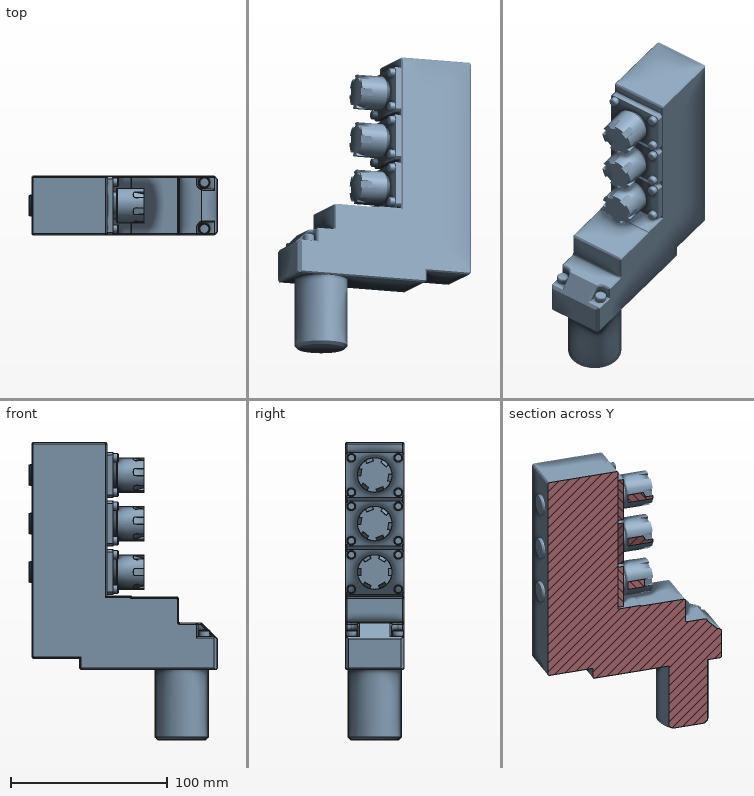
import cadquery as cq

width = 37.6
edge_chamfer = 1.0
root_chamfer = 0.5
top_z = 190.0
tower_depth = 48.0
tower_bottom_z = 52.0
foot_start_x = 30.5
foot_end_x = 118.5
foot_bottom_z = 44.8
shoulder_z = 91.2
shoulder_step = 0.5
shoulder_break_x = 63.8
shoulder_end_x = 93.9
toe_z = 74.7
toe_bevel = 10.3
toe_corner_chamfer = 2.0

post_diameter = 34.0
post_x = 95.8
post_chamfer = 1.9

screw_x = 110.2
screw_y = 14.8
screw_diameter = 7.0
screw_height = 4.0
screw_chamfer = 0.5
pocket_floor_z = 66.1
pocket_radius = 4.2

station_count = 3
station_pitch = 31.0
top_station_z = 169.1
station_heights = [top_station_z - i * station_pitch for i in range(station_count)]

button_diameter = 13.5
button_height = 1.7
button_tip_diameter = 12.5
button_taper_length = 1.1

flange_thickness = 3.8
flange_height = 28.9
flange_chamfer = 1.7
neck_diameter = 17.5
neck_length = 2.0
barrel_diameter = 22.0
barrel_end = 23.8
barrel_chamfer = 0.8
slot_count = 6
slot_angles = [20.0, 20.0, 30.0]
slot_length = 7.0
slot_width = 4.5
slot_end_depth = 2.3
bolt_diameter = 5.5
bolt_height = 3.5
bolt_chamfer = 0.5
bolt_y = 15.0
bolt_z = 11.0


def cylinder_along_x(diameter, length, start_x):
    return cq.Workplane("YZ", origin=(start_x, 0, 0)).circle(diameter / 2).extrude(length)


def make_housing_shell():
    outline = [
        (0, tower_bottom_z),
        (foot_start_x, tower_bottom_z),
        (foot_start_x, foot_bottom_z),
        (foot_end_x, foot_bottom_z),
        (foot_end_x, toe_z - toe_bevel),
        (foot_end_x - toe_bevel, toe_z),
        (shoulder_end_x, toe_z),
        (shoulder_end_x, shoulder_z),
        (shoulder_break_x, shoulder_z),
        (shoulder_break_x - shoulder_step, shoulder_z + shoulder_step),
        (tower_depth, shoulder_z + shoulder_step),
        (tower_depth, top_z),
        (0, top_z),
    ]
    shell = cq.Workplane("XZ").polyline(outline).close().extrude(width / 2, both=True)
    shell = shell.faces("<X or <Z or >Z").edges("|Y").chamfer(edge_chamfer)
    for corner_z, corner_chamfer in ((shoulder_z, edge_chamfer), (toe_z, root_chamfer)):
        corner = cq.selectors.NearestToPointSelector((shoulder_end_x, 0, corner_z))
        shell = shell.edges(corner).chamfer(corner_chamfer)
    for side in (-1, 1):
        shell = shell.cut(make_pocket(side))
        shell = shell.edges(pocket_rim_box(side)).edges("not |Z").chamfer(edge_chamfer)
    shell = shell.faces("<Y or >Y").chamfer(edge_chamfer)
    for side in (-1, 1):
        shell = shell.cut(make_toe_corner(side))
    return shell


def pocket_rim_box(side):
    margin = edge_chamfer / 2
    return cq.selectors.BoxSelector(
        (screw_x - pocket_radius - margin, side * (screw_y - pocket_radius - margin), pocket_floor_z + margin),
        (foot_end_x, side * (width / 2 - margin), toe_z + margin),
    )


def make_toe_corner(side):
    corner_y = side * width / 2
    corner = [
        (foot_end_x, corner_y),
        (foot_end_x - toe_corner_chamfer, corner_y),
        (foot_end_x, corner_y - side * toe_corner_chamfer),
    ]
    return cq.Workplane("XY").polyline(corner).close().extrude(toe_z)


def make_pocket(side):
    inner_corner = (screw_x - pocket_radius, side * (screw_y - pocket_radius))
    return (
        cq.Workplane("XY", origin=(*inner_corner, pocket_floor_z))
        .rect(width, side * width, centered=False)
        .extrude(toe_z - pocket_floor_z)
        .edges("|Z")
        .edges(cq.selectors.NearestToPointSelector((*inner_corner, toe_z)))
        .fillet(pocket_radius)
    )


def make_post():
    return (
        cq.Workplane("XY")
        .center(post_x, 0)
        .circle(post_diameter / 2)
        .extrude(foot_bottom_z)
        .faces("<Z")
        .chamfer(post_chamfer)
    )


def make_screw_heads():
    return (
        cq.Workplane("XY", origin=(screw_x, 0, pocket_floor_z))
        .pushPoints([(0, -screw_y), (0, screw_y)])
        .circle(screw_diameter / 2)
        .extrude(screw_height)
        .faces(">Z")
        .chamfer(screw_chamfer)
    )


def make_button(height):
    base_radius = button_diameter / 2
    half_profile = [
        (0, 0),
        (0, base_radius),
        (button_taper_length - button_height, base_radius),
        (-button_height, button_tip_diameter / 2),
        (-button_height, 0),
    ]
    button = cq.Workplane("XZ").polyline(half_profile).close().revolve(360, (0, 0, 0), (1, 0, 0))
    return button.translate((0, 0, height))


def make_housing():
    housing = make_housing_shell().union(make_post()).union(make_screw_heads())
    for height in station_heights:
        housing = housing.union(make_button(height))
    return housing


def make_slot(angle):
    rim = barrel_diameter / 2
    ramp = [(barrel_end - slot_length, rim), (barrel_end, rim), (barrel_end, rim - slot_end_depth)]
    slot = cq.Workplane("XZ").polyline(ramp).close().extrude(slot_width / 2, both=True)
    return slot.rotate((0, 0, 0), (1, 0, 0), angle)


def make_connector(height, first_slot_angle):
    flange = (
        cq.Workplane("YZ")
        .rect(width, flange_height)
        .extrude(flange_thickness)
        .edges("|X")
        .chamfer(flange_chamfer)
    )
    neck = cylinder_along_x(neck_diameter, neck_length, flange_thickness)
    barrel_start = flange_thickness + neck_length
    barrel = cylinder_along_x(barrel_diameter, barrel_end - barrel_start, barrel_start)
    barrel = barrel.faces("<X").chamfer(barrel_chamfer)
    for i in range(slot_count):
        barrel = barrel.cut(make_slot(first_slot_angle + i * 360 / slot_count))
    bolts = (
        cq.Workplane("YZ", origin=(flange_thickness, 0, 0))
        .rect(2 * bolt_y, 2 * bolt_z, forConstruction=True)
        .vertices()
        .circle(bolt_diameter / 2)
        .extrude(bolt_height)
        .faces(">X")
        .chamfer(bolt_chamfer)
    )
    connector = flange.union(neck).union(barrel).union(bolts)
    return connector.translate((tower_depth, 0, height))


housing = make_housing()
connectors = [make_connector(height, angle) for height, angle in zip(station_heights, slot_angles)]

result = cq.Compound.makeCompound([housing.val(), *[connector.val() for connector in connectors]])